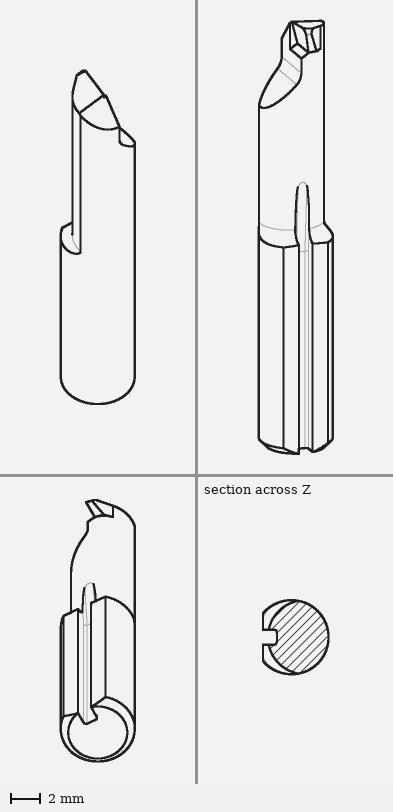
import cadquery as cq
import math

length = 30.0
shank_radius = 2.505
flat_x = -1.935
end_chamfer = 0.5

neck_radius = 2.22
neck_center_x = 0.9
shoulder_fillet = 0.9
neck_start_z = 15.65

slot_width = 1.0
slot_floor_x = -0.93
slot_corner_radius = 0.18
slot_ramp_z = 13.98
slot_exit_z = 19.02

face_y = 0.1
face_ramp_z = 26.3
face_ramp_angle = 48.0
face_blend_radius = 1.2

tip_x = -1.83
tip_radius = 0.35
tip_land_y = -0.4
tip_side_relief_angle = 10.0
tip_base_z = 28.15
tip_flank_end = (-0.72, -1.518)
undercut_top_z = 29.58
undercut_base_x = -1.38
top_relief_angle = 6.0
heel_z = 28.05
heel_edge_x = 0.87
rake_edge_y = 0.03
rake_root = (-0.45, 28.15)
rake_floor_z = 27.8

oversize = 3 * shank_radius
neck_left_x = neck_center_x - neck_radius


def make_shank():
    """Round shank with a chamfered lower end, as tall as the whole bar."""
    return cq.Workplane("XY").circle(shank_radius).extrude(length).faces("<Z").chamfer(end_chamfer)


def make_neck_envelope():
    """Neck cylinder that flares by a concave fillet, standing on a wide lower body."""
    flare_radius = neck_radius + shoulder_fillet
    flare_z = neck_start_z - shoulder_fillet
    arc_mid = (
        flare_radius - shoulder_fillet * math.cos(math.pi / 4),
        neck_start_z - shoulder_fillet * math.sin(math.pi / 4),
    )
    profile = (
        cq.Workplane("XZ")
        .lineTo(oversize, 0)
        .lineTo(oversize, flare_z)
        .lineTo(flare_radius, flare_z)
        .threePointArc(arc_mid, (neck_radius, neck_start_z))
        .lineTo(neck_radius, length)
        .lineTo(0, length)
        .close()
    )
    return profile.revolve(360, (0, 0, 0), (0, 1, 0)).translate((neck_center_x, 0, 0))


def make_flat_cutter():
    """Space outside the flat along the -X side."""
    block = cq.Workplane("XY").box(oversize, oversize, length, (False, True, False))
    return block.translate((flat_x - oversize, 0, 0))


def make_slot_cutter():
    """Straight slot whose floor ramps up and runs out through the neck surface."""
    outside_x = flat_x - slot_width
    ramp_slope = (slot_floor_x - neck_left_x) / (slot_exit_z - slot_ramp_z)
    outside_z = slot_ramp_z + (slot_floor_x - outside_x) / ramp_slope
    profile = [
        (outside_x, 0),
        (slot_floor_x, 0),
        (slot_floor_x, slot_ramp_z),
        (outside_x, outside_z),
    ]
    slot = cq.Workplane("XZ").polyline(profile).close().extrude(slot_width / 2, both=True)
    floor_faces = slot.faces("not |Y").faces(">X or (not (|X or |Z))")
    return floor_faces.edges("not |Y").fillet(slot_corner_radius)


def make_face_cutter():
    """Space above the flat face, ending in a blended ramp out through the neck."""
    ramp_rise = oversize * math.tan(math.radians(face_ramp_angle))
    profile = [
        (face_y, length),
        (face_y, face_ramp_z),
        (face_y + oversize, face_ramp_z - ramp_rise),
        (face_y + oversize, length),
    ]
    cutter = cq.Workplane("YZ").polyline(profile).close().extrude(oversize, both=True)
    root = cq.selectors.NearestToPointSelector((0, face_y, face_ramp_z))
    return cutter.edges(root).fillet(face_blend_radius)


def make_tip():
    """Tip standing out of the neck, relieved behind and undercut below."""
    plan = [
        (tip_x, face_y),
        (tip_x, tip_land_y),
        tip_flank_end,
        (neck_center_x, tip_flank_end[1]),
        (neck_center_x, face_y),
    ]
    block = (
        cq.Workplane("XY", origin=(0, 0, tip_base_z))
        .polyline(plan)
        .close()
        .extrude(length - tip_base_z)
    )
    side = [
        (undercut_base_x, tip_base_z),
        (tip_x, undercut_top_z),
        (tip_x, length),
        (neck_center_x, length),
        (neck_center_x, tip_base_z),
    ]
    side_view = cq.Workplane("XZ").polyline(side).close().extrude(oversize, both=True)
    corner = cq.selectors.NearestToPointSelector((tip_x, 0, length))
    rounded_side = side_view.edges(corner).fillet(tip_radius)
    relieved_side = rounded_side.rotate((tip_x, face_y, 0), (tip_x, face_y, 1), tip_side_relief_angle)
    return block.intersect(relieved_side)


def make_top_cutter():
    """Space above the end face, which falls away from the tip along +X and -Y."""
    slope = math.tan(math.radians(top_relief_angle))
    plane = cq.Plane(
        origin=(tip_x + tip_radius, rake_edge_y, length),
        xDir=(1, 0, -slope),
        normal=(slope, -slope, 1),
    )
    return cq.Workplane(plane).rect(2 * oversize, 2 * oversize).extrude(oversize)


def make_heel_cutter():
    """45 degree bevel on the side opposite the tip."""
    profile = [
        (shank_radius, heel_z),
        (shank_radius - oversize, heel_z + oversize),
        (shank_radius, heel_z + oversize),
    ]
    return cq.Workplane("XZ").polyline(profile).close().extrude(oversize, both=True)


def make_rake_cutter():
    """Triangular chip groove behind the cutting edge."""
    profile = [(face_y, length), (rake_edge_y, length), rake_root, (face_y, rake_floor_z)]
    groove = cq.Workplane("YZ", origin=(-oversize, 0, 0)).polyline(profile).close()
    return groove.extrude(oversize + heel_edge_x)


result = (
    make_shank()
    .intersect(make_neck_envelope())
    .cut(make_flat_cutter())
    .cut(make_slot_cutter())
    .cut(make_face_cutter())
    .union(make_tip())
    .cut(make_rake_cutter())
    .cut(make_top_cutter())
    .cut(make_heel_cutter())
)